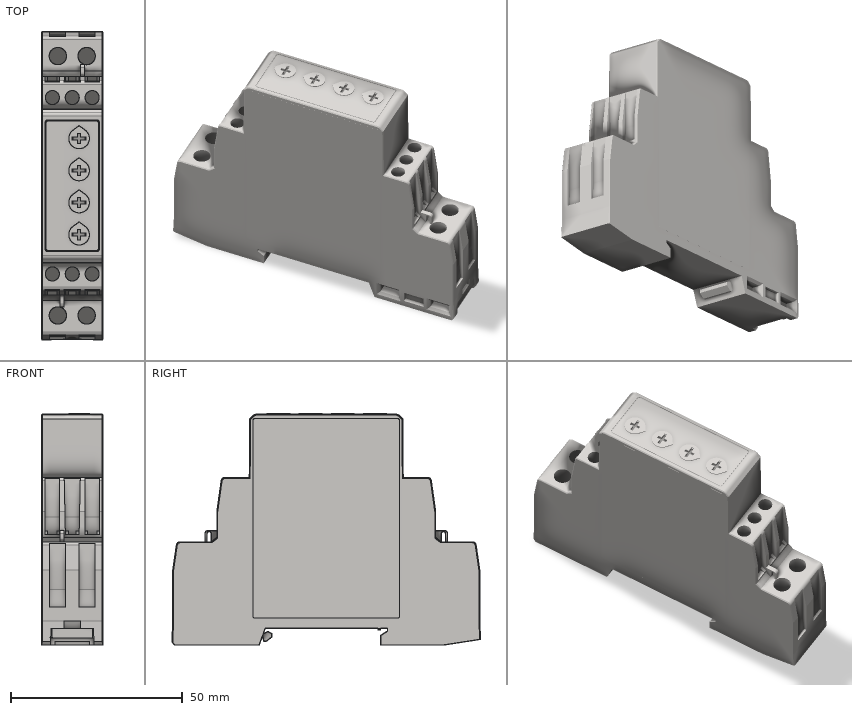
import cadquery as cq
import math

WIDTH = 17.9
PANEL_HEIGHT = 0.02
HALF_SHELL = WIDTH / 2 - PANEL_HEIGHT
EDGE_CHAMFER = 0.27
HALF_LENGTH = 45.0
TOP_Z = 67.35
KNOB_TOP_Z = 67.6

TOP_ROUND_RUN = 1.1
TOP_ROUND_TURN = math.radians(45)
TOP_ROUND_DROP = TOP_ROUND_RUN * math.tan(TOP_ROUND_TURN / 2)
TOP_FLAT_RUN = 0.9
TOWER_HALF_TOP = 22.3
TOWER_HALF_BASE = 22.45
UPPER_LEDGE_Z = 48.9
UPPER_ROUND_Y = 29.55
UPPER_WALL_Y = 31.9
UPPER_BREAK_Z = 39.0
LEDGE_ROUND = 1.1
FOOT_CHAMFER_Z = 31.45
FOOT_CHAMFER_Y = 33.45
LOWER_LEDGE_Z = 30.15
LOWER_ROUND_Y = 42.6
LOWER_WALL_Y = 44.75
LOWER_BREAK_Z = 22.0
SKIRT_Z = 7.05
TRIM = 1.0

RAIL_Z = 4.95
RAIL_HOOK = [(17.8, RAIL_Z), (17.8, 4.1), (15.85, 2.85), (15.85, 0.0)]
RAIL_SLANT = [(-19.55, 0.0), (-17.75, RAIL_Z)]
RAMP_Y = 34.0
RAMP_Z = 1.7
TOE_CHAMFER_Y = 0.8
TOE_CHAMFER_Z = 1.1

UPPER_HOLE_D = 4.1
UPPER_HOLE_PITCH = 5.8
UPPER_HOLE_Y = 25.7
LOWER_HOLE_D = 5.05
LOWER_HOLE_PITCH = 8.4
LOWER_HOLE_Y = 37.8
HOLE_DEPTH = 8.0

UPPER_FLOOR_Y = 30.25
UPPER_FLOOR_BREAK_Z = 37.4
UPPER_SILL_Y = 30.6
UPPER_SILL_Z = 32.25
UPPER_SIDE_GROOVE = (3.66, 8.0)
MIDDLE_GROOVE_TOP = 2.35
MIDDLE_GROOVE_BOTTOM = 2.0
WEDGE_RISE = 1.25
WEDGE_WIDTH = 0.85
LOWER_FLOOR_Y = 43.5
LOWER_FLOOR_BREAK_Z = 16.3
LOWER_SILL_Y = 44.0
LOWER_SILL_Z = 11.1
LOWER_GROOVE = (2.03, 6.64)

LOOP_X = (-3.6, -2.35)
LOOP_TOP_Z = 33.4
LOOP_OUTER_Y = 35.4
LOOP_ROUND = 0.9
LOOP_THICKNESS = 0.65
LOOP_CROWN = 0.3
LOOP_ROOT = 1.0
LOOP_GAP = (33.55, LOOP_OUTER_Y - LOOP_THICKNESS)

PANEL_HALF_Y = 21.35
PANEL_Z = (7.9, 66.1)
PANEL_CORNER = 0.6

LABEL_X = 15.8
LABEL_Y = 38.4
LABEL_CORNER = 0.8
LABEL_GROOVE = 0.3
LABEL_DEPTH = 0.15
KNOB_X = 2.0
KNOB_PITCH = 9.35
KNOB_COUNT = 4
KNOB_OFFSET_Y = -0.22
KNOB_R = 3.0
KNOB_TIP = 3.7
CROSS_LONG = 4.1
CROSS_LONG_INNER = 3.5
CROSS_SHORT = 3.0
CROSS_WIDTH = 0.82
CROSS_STEP = 0.25
CROSS_DEPTH = 0.8

POCKET_Z = 3.57
POCKET_SIZE = (7.65, 4.3)
POCKET_INNER = (5.9, 2.7)
POCKET_FLARE = 0.7
POCKET_DEPTH = 3.2
POCKET_Y = (-24.1, -40.1)
MIDDLE_POCKET_SIZE = (6.3, 3.2)
MIDDLE_POCKET_Y = -32.1
MIDDLE_POCKET_DEPTH = 1.2

LATCH_HALF = 6.37
LATCH_Z = 4.88
LATCH_PLATE_DEPTH = 0.3
LATCH_PLATE_HALF = 5.9
LATCH_LIP_Z = 2.13
LATCH_LIP_DEPTH = 2.5
LATCH_NOTCH_HALF = 5.0
LATCH_NOTCH_Z = 1.1
LATCH_NOTCH_DEPTH = 0.5
PRY_HALF = 2.45
PRY_DEPTH = 1.3
CLIP_HALF = 5.0
CLIP = [(-18.6, 3.3), (-17.0, 4.0), (-15.85, 3.4), (-15.85, 2.4), (-17.5, 1.1), (-18.2, 1.1), (-18.5, 2.4)]

RIB_Y = (15.05, 15.85)
RIB_DROP = 0.5
RIB_HALF = 5.0

OVERLAP = 0.3
CLEAR = 1.0


def box(x, y, z):
    """Block spanning the given (low, high) pairs."""
    size = [high - low for low, high in (x, y, z)]
    return cq.Workplane("XY").box(*size, centered=False).translate((x[0], y[0], z[0]))


def prism(points, x):
    """Polygon of (y, z) points extruded over the (low, high) pair x."""
    return cq.Workplane("YZ").polyline(points).close().extrude(x[1] - x[0]).translate((x[0], 0, 0))


def both_ends(tool):
    """The tool and its copy turned half a turn about Z."""
    return tool.union(tool.rotate((0, 0, 0), (0, 0, 1), 180))


def ledge_round(start_y, ledge_z, wall_y, wall_z):
    """Middle and end points of the arc rounding a ledge into the leaning wall below it."""
    centre_z = ledge_z - LEDGE_ROUND
    reach_y = wall_y - start_y
    reach_z = centre_z - wall_z
    turn = math.atan2(reach_z, reach_y) - math.acos(LEDGE_ROUND / math.hypot(reach_y, reach_z))
    end_angle = -turn
    middle_angle = (end_angle + math.pi / 2) / 2
    return [
        (start_y + LEDGE_ROUND * math.cos(a), centre_z + LEDGE_ROUND * math.sin(a))
        for a in (middle_angle, end_angle)
    ]


def half_shell(end_z):
    """Half of the housing, out to the +Y end, which is upright below end_z."""
    top_y = TOWER_HALF_TOP - TOP_FLAT_RUN - TOP_ROUND_RUN
    top_radius = TOP_ROUND_RUN / math.sin(TOP_ROUND_TURN)
    half_turn = TOP_ROUND_TURN / 2
    top_middle = (top_y + top_radius * math.sin(half_turn), TOP_Z - top_radius * (1 - math.cos(half_turn)))
    flat_z = TOP_Z - TOP_ROUND_DROP
    upper_middle, upper_end = ledge_round(UPPER_ROUND_Y, UPPER_LEDGE_Z, UPPER_WALL_Y, UPPER_BREAK_Z)
    lower_middle, lower_end = ledge_round(LOWER_ROUND_Y, LOWER_LEDGE_Z, LOWER_WALL_Y, LOWER_BREAK_Z)
    return (
        cq.Workplane("YZ")
        .moveTo(0, -TRIM)
        .lineTo(0, TOP_Z)
        .lineTo(top_y, TOP_Z)
        .threePointArc(top_middle, (top_y + TOP_ROUND_RUN, flat_z))
        .lineTo(TOWER_HALF_TOP, flat_z - TOP_FLAT_RUN)
        .lineTo(TOWER_HALF_BASE, UPPER_LEDGE_Z)
        .lineTo(UPPER_ROUND_Y, UPPER_LEDGE_Z)
        .threePointArc(upper_middle, upper_end)
        .lineTo(UPPER_WALL_Y, UPPER_BREAK_Z)
        .lineTo(UPPER_WALL_Y, FOOT_CHAMFER_Z)
        .lineTo(FOOT_CHAMFER_Y, LOWER_LEDGE_Z)
        .lineTo(LOWER_ROUND_Y, LOWER_LEDGE_Z)
        .threePointArc(lower_middle, lower_end)
        .lineTo(LOWER_WALL_Y, LOWER_BREAK_Z)
        .lineTo(LOWER_WALL_Y, SKIRT_Z)
        .lineTo(HALF_LENGTH, end_z)
        .lineTo(HALF_LENGTH, -TRIM)
        .close()
        .extrude(HALF_SHELL, both=True)
    )


def shell():
    body = half_shell(RAMP_Z).union(half_shell(TOE_CHAMFER_Z).mirror("XZ")).clean()
    body = body.faces("<X or >X").edges().chamfer(EDGE_CHAMFER)
    return body.cut(base_cuts())


def base_cuts():
    """Rail seat, rear ramp and toe chamfer under the housing."""
    across = (-WIDTH, WIDTH)
    below = box(across, (-2 * HALF_LENGTH, 2 * HALF_LENGTH), (-2 * TRIM, 0))
    hook_end = (RAIL_HOOK[-1][0], -CLEAR)
    slant_start = (RAIL_SLANT[0][0], -CLEAR)
    rail = prism(RAIL_HOOK + [hook_end, slant_start] + RAIL_SLANT, across)
    ramp = prism(
        [(RAMP_Y, 0), (HALF_LENGTH, RAMP_Z), (HALF_LENGTH + CLEAR, -CLEAR), (RAMP_Y, -CLEAR)],
        across,
    )
    toe_start = -HALF_LENGTH + TOE_CHAMFER_Y
    toe = prism(
        [(toe_start, 0), (-HALF_LENGTH, TOE_CHAMFER_Z), (-HALF_LENGTH - CLEAR, 0), (toe_start, -CLEAR)],
        across,
    )
    return below.union(rail).union(ramp).union(toe)


def terminal_holes():
    upper = [(i * UPPER_HOLE_PITCH, UPPER_HOLE_Y) for i in (-1, 0, 1)]
    lower = [(i * LOWER_HOLE_PITCH, LOWER_HOLE_Y) for i in (-0.5, 0.5)]
    holes = cq.Workplane("XY")
    rows = ((upper, UPPER_HOLE_D, UPPER_LEDGE_Z), (lower, LOWER_HOLE_D, LOWER_LEDGE_Z))
    for places, diameter, ledge_z in rows:
        drill = cq.Workplane("XY", origin=(0, 0, ledge_z - HOLE_DEPTH)).pushPoints(places)
        holes = holes.add(drill.circle(diameter / 2).extrude(HOLE_DEPTH).vals())
    return both_ends(holes.combine())


def groove(x, floor_y, top_z, break_z, sill_y, sill_z):
    """Groove at the -Y end, open outward and upward."""
    open_y = -HALF_LENGTH - CLEAR
    profile = [(open_y, top_z), (-floor_y, top_z), (-floor_y, break_z), (-sill_y, sill_z), (open_y, sill_z)]
    return prism(profile, x)


def upper_groove(x):
    return groove(x, UPPER_FLOOR_Y, UPPER_LEDGE_Z, UPPER_FLOOR_BREAK_Z, UPPER_SILL_Y, UPPER_SILL_Z)


def sill_wedges(x):
    """Sloping wedges in both lower corners of an upper groove."""
    back_y = -UPPER_FLOOR_Y
    profile = [(-UPPER_WALL_Y, UPPER_SILL_Z), (back_y, UPPER_SILL_Z), (back_y, UPPER_SILL_Z + WEDGE_RISE)]
    left = prism(profile, (x[0], x[0] + WEDGE_WIDTH))
    right = prism(profile, (x[1] - WEDGE_WIDTH, x[1]))
    return left.union(right)


def upper_grooves():
    """The three grooves of the upper step; the middle one narrows downward."""
    inner, outer = UPPER_SIDE_GROOVE
    middle = (-MIDDLE_GROOVE_TOP, MIDDLE_GROOVE_TOP)
    taper = (
        cq.Workplane("XZ")
        .moveTo(-MIDDLE_GROOVE_TOP, UPPER_LEDGE_Z)
        .lineTo(MIDDLE_GROOVE_TOP, UPPER_LEDGE_Z)
        .lineTo(MIDDLE_GROOVE_BOTTOM, UPPER_SILL_Z)
        .lineTo(-MIDDLE_GROOVE_BOTTOM, UPPER_SILL_Z)
        .close()
        .extrude(HALF_LENGTH + CLEAR)
    )
    grooves = upper_groove(middle).intersect(taper)
    grooves = grooves.cut(sill_wedges((-MIDDLE_GROOVE_BOTTOM, MIDDLE_GROOVE_BOTTOM)))
    for x in ((-outer, -inner), (inner, outer)):
        grooves = grooves.union(upper_groove(x).cut(sill_wedges(x)))
    return both_ends(grooves)


def lower_grooves():
    inner, outer = LOWER_GROOVE
    grooves = cq.Workplane("XY")
    for x in ((-outer, -inner), (inner, outer)):
        slot = groove(x, LOWER_FLOOR_Y, LOWER_LEDGE_Z, LOWER_FLOOR_BREAK_Z, LOWER_SILL_Y, LOWER_SILL_Z)
        grooves = grooves.add(slot.vals())
    return both_ends(grooves.combine())


def wire_loops():
    """Thin upright arch in front of the upper step, one at each end."""
    bottom_z = LOWER_LEDGE_Z - OVERLAP
    root_y = UPPER_WALL_Y - LOOP_ROOT
    outside = box(LOOP_X, (-LOOP_OUTER_Y, -root_y), (bottom_z, LOOP_TOP_Z))
    outside = outside.edges("|X and >Z and <Y").fillet(LOOP_ROUND)
    gap_radius = (LOOP_GAP[1] - LOOP_GAP[0]) / 2
    gap_top = LOOP_TOP_Z - LOOP_CROWN
    gap_middle_y = -sum(LOOP_GAP) / 2
    gap = (
        cq.Workplane("YZ", origin=(LOOP_X[0], 0, 0))
        .moveTo(-LOOP_GAP[1], bottom_z)
        .lineTo(-LOOP_GAP[1], gap_top - gap_radius)
        .threePointArc((gap_middle_y, gap_top), (-LOOP_GAP[0], gap_top - gap_radius))
        .lineTo(-LOOP_GAP[0], bottom_z)
        .close()
        .extrude(LOOP_X[1] - LOOP_X[0])
    )
    return both_ends(outside.cut(gap))


def cover_panels():
    """Block through the housing whose ends are the slightly raised side panels."""
    height = PANEL_Z[1] - PANEL_Z[0]
    return (
        cq.Workplane("YZ", origin=(0, 0, sum(PANEL_Z) / 2))
        .rect(2 * PANEL_HALF_Y, height)
        .extrude(WIDTH / 2, both=True)
        .edges("|X")
        .fillet(PANEL_CORNER)
    )


def label_groove():
    """Shallow rectangular ring around the knobs."""
    def plate(inset):
        return (
            cq.Workplane("XY", origin=(0, 0, TOP_Z - LABEL_DEPTH))
            .rect(LABEL_X - 2 * inset, LABEL_Y - 2 * inset)
            .extrude(LABEL_DEPTH + CLEAR)
            .edges("|Z")
            .fillet(LABEL_CORNER - inset)
        )

    return plate(0).cut(plate(LABEL_GROOVE))


def knob():
    """Drop-shaped disc with its tip toward +Y and a cross recess."""
    touch_angle = math.asin(KNOB_R / KNOB_TIP)
    touch_x = KNOB_R * math.cos(touch_angle)
    touch_y = KNOB_R * math.sin(touch_angle)
    drop = (
        cq.Workplane("XY")
        .moveTo(0, KNOB_TIP)
        .lineTo(-touch_x, touch_y)
        .threePointArc((0, -KNOB_R), (touch_x, touch_y))
        .close()
        .extrude(KNOB_TOP_Z - TOP_Z + CROSS_DEPTH)
    )
    drop = drop.faces(">Z").workplane(origin=(0, 0, 0)).rect(CROSS_LONG, CROSS_WIDTH).cutBlind(-CROSS_STEP)
    for size in ((CROSS_LONG_INNER, CROSS_WIDTH), (CROSS_WIDTH, CROSS_SHORT)):
        drop = drop.faces(">Z").workplane(origin=(0, 0, 0)).rect(*size).cutBlind(-CROSS_DEPTH)
    return drop.translate((0, 0, TOP_Z - CROSS_DEPTH))


def with_knobs(body):
    seat = cq.Workplane("XY").circle(KNOB_R).extrude(CROSS_DEPTH).translate((0, 0, TOP_Z - CROSS_DEPTH))
    for i in range(KNOB_COUNT):
        place = (KNOB_X, KNOB_OFFSET_Y + (i - (KNOB_COUNT - 1) / 2) * KNOB_PITCH, 0)
        body = body.cut(seat.translate(place)).union(knob().translate(place))
    return body


def toe_pockets():
    """Two flared pockets and a plain shallow one between them, in the -X side."""
    def side_plane(y):
        return cq.Workplane("YZ", origin=(-HALF_SHELL, y, POCKET_Z))

    pockets = side_plane(MIDDLE_POCKET_Y).rect(*MIDDLE_POCKET_SIZE).extrude(MIDDLE_POCKET_DEPTH)
    for y in POCKET_Y:
        flare = (
            side_plane(y)
            .rect(*POCKET_SIZE)
            .workplane(offset=POCKET_FLARE)
            .rect(*POCKET_INNER)
            .loft()
        )
        shaft = side_plane(y).rect(*POCKET_INNER).extrude(POCKET_DEPTH)
        pockets = pockets.union(flare).union(shaft)
    return pockets


def latch_recess():
    """Stepped recess around the latch slider and the pry notch above it."""
    face_y = -HALF_LENGTH
    out_y = face_y - CLEAR
    plate_y = face_y + LATCH_PLATE_DEPTH
    lip_y = face_y + LATCH_LIP_DEPTH
    recess = (
        cq.Workplane("XY")
        .moveTo(-LATCH_HALF, out_y)
        .lineTo(-LATCH_HALF, face_y)
        .lineTo(-LATCH_PLATE_HALF, plate_y)
        .lineTo(LATCH_PLATE_HALF, plate_y)
        .lineTo(LATCH_HALF, face_y)
        .lineTo(LATCH_HALF, out_y)
        .close()
        .extrude(LATCH_Z)
    )
    rebate = box((-LATCH_HALF, LATCH_HALF), (out_y, lip_y), (-CLEAR, LATCH_LIP_Z))
    notch = box(
        (-LATCH_NOTCH_HALF, LATCH_NOTCH_HALF),
        (out_y, lip_y + LATCH_NOTCH_DEPTH),
        (-CLEAR, LATCH_NOTCH_Z),
    )
    pry = prism(
        [(out_y, SKIRT_Z), (-LOWER_WALL_Y, SKIRT_Z), (face_y + PRY_DEPTH, LATCH_Z), (out_y, LATCH_Z)],
        (-PRY_HALF, PRY_HALF),
    )
    return recess.union(rebate).union(notch).union(pry)


def latch_clip():
    return prism(CLIP, (-CLIP_HALF, CLIP_HALF))


def rail_rib():
    return box((-RIB_HALF, RIB_HALF), RIB_Y, (RAIL_Z - RIB_DROP, RAIL_Z + OVERLAP))


result = shell().union(cover_panels())
result = result.cut(upper_grooves()).cut(lower_grooves())
result = result.union(wire_loops()).cut(terminal_holes())
result = result.cut(label_groove())
result = with_knobs(result)
result = result.cut(toe_pockets()).cut(latch_recess())
result = result.union(latch_clip()).union(rail_rib())